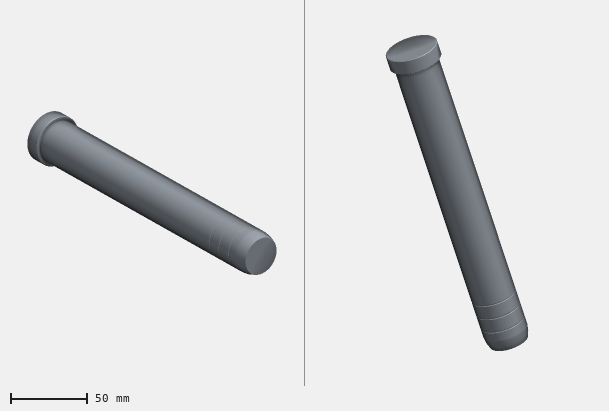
import cadquery as cq

length = 220.0
head_diameter = 35.0
head_length = 10.1
head_chamfer = 0.5
shaft_diameter = 30.0

groove_width = 1.0
groove_depth = 0.5
tip_groove_count = 3
tip_groove_pitch = 10.0
last_groove_setback = 15.0

tip_length = 8.4
tip_diameter = 26.0
tip_bulge = 0.5

x_start = -length / 2
x_end = length / 2
x_shoulder = x_start + head_length
shaft_radius = shaft_diameter / 2


def revolve_about_x(profile):
    return profile.revolve(360, (0, 0, 0), (1, 0, 0))


def make_head():
    """Flat disc with both rims chamfered."""
    disc = cq.Workplane("YZ", origin=(x_start, 0, 0)).circle(head_diameter / 2).extrude(head_length)
    return disc.edges().chamfer(head_chamfer)


def make_shaft():
    """Straight shaft with a gently curved lead-in."""
    tip_radius = tip_diameter / 2
    x_tip = x_end - tip_length
    tip_middle = (x_tip + tip_length / 2, (shaft_radius + tip_radius) / 2 + tip_bulge)
    profile = (
        cq.Workplane("XY")
        .moveTo(x_shoulder, 0)
        .lineTo(x_shoulder, shaft_radius)
        .lineTo(x_tip, shaft_radius)
        .threePointArc(tip_middle, (x_end, tip_radius))
        .lineTo(x_end, 0)
        .close()
    )
    return revolve_about_x(profile)


def ring_groove(x_center):
    """Ring with an arc-shaped bottom, to be cut from the shaft surface."""
    half_width = groove_width / 2
    profile = (
        cq.Workplane("XY")
        .moveTo(x_center - half_width, shaft_radius)
        .threePointArc((x_center, shaft_radius - groove_depth), (x_center + half_width, shaft_radius))
        .close()
    )
    return revolve_about_x(profile)


result = make_head().union(make_shaft())
result = result.cut(ring_groove(x_shoulder + groove_width / 2))

for index in range(tip_groove_count):
    groove_center = x_end - last_groove_setback - index * tip_groove_pitch
    result = result.cut(ring_groove(groove_center))